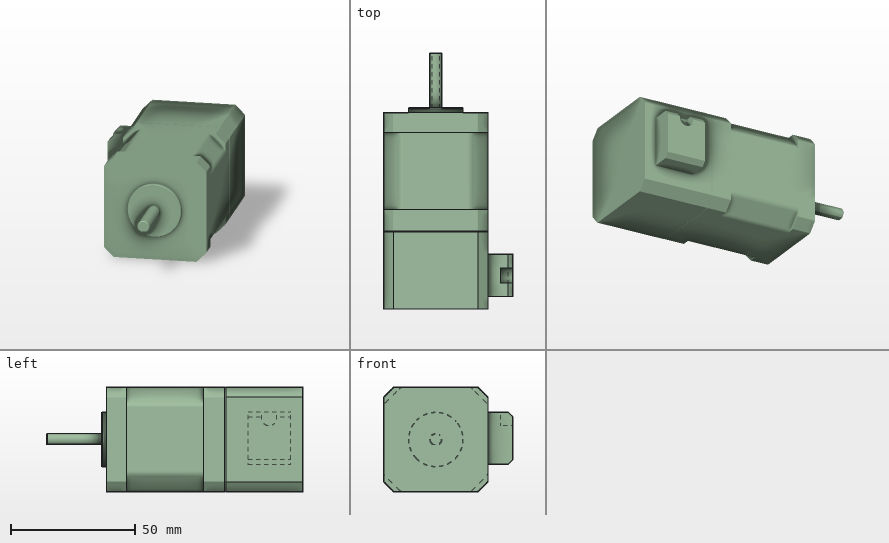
import cadquery as cq
frame_width = 42.0
total_length = 103.0

cover_length = 31.0
seal_length = 0.5
rear_flange_length = 8.4
stator_length = 31.0
front_flange_length = 8.0
pilot_height = 2.0

seal_start = cover_length
rear_flange_start = seal_start + seal_length
stator_start = rear_flange_start + rear_flange_length
front_flange_start = stator_start + stator_length
pilot_start = front_flange_start + front_flange_length
pilot_end = pilot_start + pilot_height

seal_inset = 0.1
seal_width = frame_width - 2 * seal_inset

corner_chamfer = 4.0
flange_corner_radius = 0.5
stator_chamfer = 7.0
stator_corner_radius = 2.7

pilot_diameter = 22.0
pilot_chamfer_height = 0.5
pilot_chamfer_inset = 0.2
shaft_diameter = 4.9
shaft_flat_distance = 2.0
shaft_tip_chamfer = 0.3

connector_reach = 10.0
connector_length = 17.1
connector_height = 21.0
connector_start = 5.0
connector_center_z = 0.5
connector_chamfer = 2.0
groove_width = 6.0
groove_reach = 5.0
groove_depth = 5.5


def chamfered_block(start, length, chamfer, width):
    """Square block along Y with its four long edges chamfered."""
    return (
        cq.Workplane("XY")
        .box(width, length, width, centered=(True, False, True))
        .edges("|Y")
        .chamfer(chamfer)
        .translate((0, start, 0))
    )


def rounded_block(start, length, chamfer, radius, width=frame_width):
    """Chamfered square block with the chamfer edges rounded."""
    return chamfered_block(start, length, chamfer, width).edges("|Y").fillet(radius)


def cylinder_along_y(start, end, diameter):
    """Cylinder on the motor axis between two Y positions."""
    return (
        cq.Workplane("XZ", origin=(0, start, 0))
        .circle(diameter / 2)
        .extrude(start - end)
    )


def make_shaft():
    """Shaft standing on the pilot, with a flat on its -Z side."""
    shaft = cylinder_along_y(pilot_end, total_length, shaft_diameter)
    shaft = shaft.faces(">Y").chamfer(shaft_tip_chamfer)
    waste = cq.Workplane("XY").box(
        shaft_diameter, total_length, shaft_diameter, centered=(True, False, False)
    )
    return shaft.cut(waste.translate((0, 0, -shaft_flat_distance - shaft_diameter)))


def make_pilot():
    """Round centring boss on the front flange with a bevelled front rim."""
    pilot = cylinder_along_y(pilot_start, pilot_end, pilot_diameter)
    return pilot.faces(">Y").chamfer(pilot_chamfer_height, pilot_chamfer_inset)


def make_connector():
    """Connector block with a round-bottomed groove in its top, open towards +X."""
    block = (
        cq.Workplane("XY")
        .box(connector_reach, connector_length, connector_height, centered=(False, False, True))
        .edges(">X and |Y")
        .chamfer(connector_chamfer)
        .translate((frame_width / 2, connector_start, connector_center_z))
    )
    groove_radius = groove_width / 2
    top = connector_center_z + connector_height / 2
    groove_x = frame_width / 2 + connector_reach - groove_reach
    groove_y = connector_start + connector_length / 2
    arc_z = top - groove_depth + groove_radius
    groove = (
        cq.Workplane("YZ", origin=(groove_x, groove_y, 0))
        .moveTo(-groove_radius, top)
        .lineTo(-groove_radius, arc_z)
        .threePointArc((0, arc_z - groove_radius), (groove_radius, arc_z))
        .lineTo(groove_radius, top)
        .close()
        .extrude(groove_reach)
    )
    return block.cut(groove)


cover = chamfered_block(0, cover_length, corner_chamfer, frame_width)
seal = rounded_block(seal_start, seal_length, corner_chamfer, flange_corner_radius, seal_width)
rear_flange = rounded_block(rear_flange_start, rear_flange_length, corner_chamfer, flange_corner_radius)
stator = rounded_block(stator_start, stator_length, stator_chamfer, stator_corner_radius)
front_flange = rounded_block(
    front_flange_start, front_flange_length, corner_chamfer, flange_corner_radius
)
pilot = make_pilot()
shaft = make_shaft()
connector = make_connector()

result = cq.Compound.makeCompound(
    [
        cover.val(),
        seal.val(),
        rear_flange.val(),
        stator.val(),
        front_flange.val(),
        pilot.val(),
        shaft.val(),
        connector.val(),
    ]
)